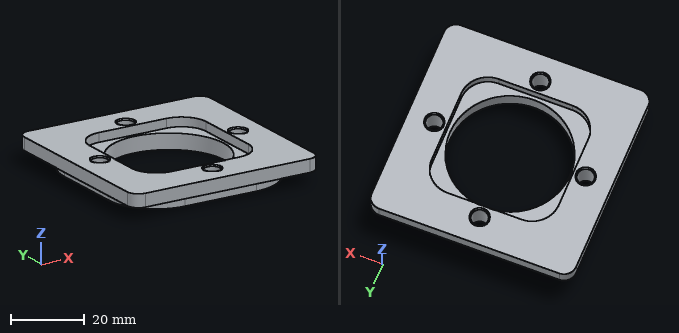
import cadquery as cq

plate_side = 59.6
plate_thickness = 4.0
plate_corner_radius = 3.6

total_height = 7.6
boss_side = 52.55
boss_corner_radius = 14.9

recess_side = 37.0
recess_depth = 2.8
recess_corner_radius = 7.75

bore_diameter = 35.0

hole_diameter = 4.8
hole_mouth_diameter = 5.6
hole_chamfer = (hole_mouth_diameter - hole_diameter) / 2
hole_circle_radius = 22.05
hole_count = 4


def rounded_square(side, corner_radius, bottom, top):
    """Square prism centred on Z with rounded vertical edges."""
    prism = cq.Workplane("XY").workplane(offset=bottom).rect(side, side).extrude(top - bottom)
    return prism.edges("|Z").fillet(corner_radius)


def chamfered_hole_cutters():
    """Through-hole cylinders that widen to a conical mouth at the top face."""
    profile = (
        cq.Workplane("XZ")
        .lineTo(hole_diameter / 2, 0)
        .lineTo(hole_diameter / 2, total_height - hole_chamfer)
        .lineTo(hole_mouth_diameter / 2, total_height)
        .lineTo(0, total_height)
        .close()
    )
    cutter = profile.revolve(360, (0, 0, 0), (0, 1, 0)).val()
    centers = cq.Workplane("XY").polarArray(hole_circle_radius, 0, 360, hole_count)
    return centers.eachpoint(lambda place: cutter.located(place))


plate_bottom = total_height - plate_thickness
plate = rounded_square(plate_side, plate_corner_radius, plate_bottom, total_height)
boss = rounded_square(boss_side, boss_corner_radius, 0, plate_bottom)
recess = rounded_square(recess_side, recess_corner_radius, total_height - recess_depth, total_height)
bore = cq.Workplane("XY").circle(bore_diameter / 2).extrude(total_height)

result = plate.union(boss).cut(recess).cut(bore).cut(chamfered_hole_cutters())